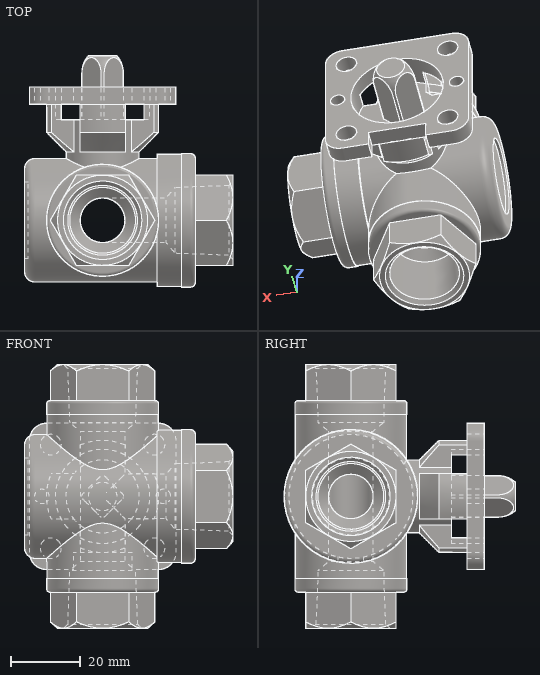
import cadquery as cq
import math

run_end = 37.85
branch_end = 37.4
closed_end = 22.4

body_dia = 35.5
body_edge_radius = 3.0
recess_dia = 22.0
recess_depth = 1.0

collar_start = 15.6
collar_step = 22.6
collar_end = 26.65
collar_dia = 38.0
collar_rim_dia = 38.4
collar_edge_radius = 1.5

barrel_dia = 32.0
barrel_rim_start = 23.5
barrel_rim_dia = 32.2
barrel_end = 27.5
barrel_edge_radius = 1.0

hex_flats = 26.0
hex_corners = hex_flats / math.cos(math.pi / 6)
hex_face_dia = 25.8
hex_chamfer_length = 1.9
branch_hex_turn = 30

port_mouth_dia = 22.5
port_mouth_depth = 1.2
port_dia = 20.0
port_depth = 16.65
seat_dia = 18.85
seat_length = 2.6
passage_dia = 12.7

neck_dia = 21.0
neck_end = 28.85
plate_start = 33.2
plate_thickness = 5.0
plate_end = plate_start + plate_thickness
plate_side = 42.0
plate_corner_radius = 5.0
plate_opening_dia = 27.0
claw_dia = 32.2
claw_width = 13.0
claw_cone_end = 25.2
claw_cone_start = claw_cone_end - (claw_dia - neck_dia) / 2

corner_hole_dia = 6.0
corner_hole_spacing = 29.7
side_hole_dia = 4.2
side_hole_spacing = 34.8

notch_width = 16.8
notch_depth = (plate_side - claw_dia) / 2

stem_dia = 11.95
stem_flats = 9.1
stem_turn = 45
overall_depth = 66.4
stem_end = overall_depth - collar_rim_dia / 2
stem_tip_dia = 8.2
dome_length = 5.1


def solid_along(direction, profile):
    """Turn a closed (radius, distance) profile about +Y and point +Y along direction."""
    solid = cq.Workplane("XY").polyline(profile).close().revolve(360, (0, 0, 0), (0, 1, 0))
    return point_along(direction, solid)


def point_along(direction, solid):
    """Swing a solid built along +Y so that it runs along direction."""
    turns = {
        "+Y": ((0, 0, 1), 0),
        "+X": ((0, 0, 1), -90),
        "+Z": ((1, 0, 0), 90),
        "-Z": ((1, 0, 0), -90),
    }
    axis, angle = turns[direction]
    return solid.rotate((0, 0, 0), axis, angle)


def along_y(start):
    """Sketch plane at y = start that extrudes towards +Y, with X and -Z in the plane."""
    return cq.Workplane("XZ", origin=(0, start, 0)).transformed(rotate=(180, 0, 0))


def cylinder(diameter, start, end):
    """Cylinder along +Y."""
    return along_y(start).circle(diameter / 2).extrude(end - start)


def hex_end(base, face):
    """Hexagonal port end along +Y, with chamfered corners on its face."""
    prism = along_y(base).polygon(6, hex_corners).extrude(face - base)
    blank = solid_along("+Y", [
        (0, base),
        (hex_corners / 2, base),
        (hex_corners / 2, face - hex_chamfer_length),
        (hex_face_dia / 2, face),
        (0, face),
    ])
    return prism.intersect(blank)


def port_bore(direction, face):
    """Countersunk, slightly tapered port with a conical seat and a flow passage down to the centre."""
    seat_start = face - port_depth
    return solid_along(direction, [
        (0, 0),
        (passage_dia / 2, 0),
        (passage_dia / 2, seat_start - seat_length),
        (seat_dia / 2, seat_start),
        (port_dia / 2, face - port_mouth_depth),
        (port_mouth_dia / 2, face),
        (0, face),
    ])


def body():
    """Round body with a closed, rounded end at -X."""
    blank = cq.Workplane("YZ", origin=(-closed_end, 0, 0)).circle(body_dia / 2)
    blank = blank.extrude(closed_end + collar_step)
    recess = cq.Workplane("YZ", origin=(-closed_end, 0, 0)).circle(recess_dia / 2).extrude(recess_depth)
    return blank.faces("<X").edges().fillet(body_edge_radius).cut(recess)


def branch():
    """Stepped collar and hexagonal end at +X."""
    rim = cylinder(collar_rim_dia, collar_step, collar_end).faces(">Y").edges().fillet(collar_edge_radius)
    collar = cylinder(collar_dia, collar_start, collar_step).union(rim)
    port_hex = hex_end(collar_end, branch_end).rotate((0, 0, 0), (0, 1, 0), branch_hex_turn)
    return point_along("+X", collar.union(port_hex))


def run(direction):
    """Barrel with a slightly wider rim and a hexagonal end."""
    rim = cylinder(barrel_rim_dia, barrel_rim_start, barrel_end).faces(">Y").edges().fillet(barrel_edge_radius)
    barrel = cylinder(barrel_dia, 0, barrel_rim_start).union(rim)
    return point_along(direction, barrel.union(hex_end(barrel_end, run_end)))


def claws():
    """Four claws that carry the plate, left over from a cup by a cross of two bars."""
    cup = solid_along("+Y", [
        (0, claw_cone_start),
        (neck_dia / 2, claw_cone_start),
        (claw_dia / 2, claw_cone_end),
        (claw_dia / 2, plate_start),
        (plate_opening_dia / 2, plate_start),
        (plate_opening_dia / 2, neck_end),
        (0, neck_end),
    ])
    height = plate_start - claw_cone_start
    cross = along_y(claw_cone_start).rect(claw_dia, claw_width).extrude(height)
    cross = cross.union(along_y(claw_cone_start).rect(claw_width, claw_dia).extrude(height))
    return cup.intersect(cross)


def plate():
    """Square mounting plate with a round opening for the stem, six holes and a notch."""
    blank = along_y(plate_start).rect(plate_side, plate_side).extrude(plate_thickness)
    blank = blank.edges("|Y").fillet(plate_corner_radius)
    opening = cylinder(plate_opening_dia, plate_start, plate_end)
    corner_holes = along_y(plate_start).rect(corner_hole_spacing, corner_hole_spacing, forConstruction=True)
    corner_holes = corner_holes.vertices().circle(corner_hole_dia / 2).extrude(plate_thickness)
    side_holes = along_y(plate_start).rarray(side_hole_spacing, 0.75, 2, 1)
    side_holes = side_holes.circle(side_hole_dia / 2).extrude(plate_thickness)
    notch = cq.Workplane("XY", origin=(0, plate_start + plate_thickness / 2, -plate_side / 2))
    notch = notch.rect(notch_width, plate_thickness).extrude(notch_depth)
    return blank.cut(opening).cut(corner_holes).cut(side_holes).cut(notch)


def stem():
    """Square stem with its corners turned round and an arched, turned tip."""
    radius = stem_dia / 2
    tip_radius = stem_tip_dia / 2
    inset = radius - tip_radius
    arch_radius = (dome_length ** 2 + inset ** 2) / (2 * inset)
    arch_start = stem_end - dome_length
    half_angle = math.asin(dome_length / arch_radius) / 2
    arch_middle = (
        radius - arch_radius * (1 - math.cos(half_angle)),
        arch_start + arch_radius * math.sin(half_angle),
    )
    turned = (
        cq.Workplane("XY")
        .moveTo(0, 0)
        .lineTo(radius, 0)
        .lineTo(radius, arch_start)
        .threePointArc(arch_middle, (tip_radius, stem_end))
        .lineTo(0, stem_end)
        .close()
        .revolve(360, (0, 0, 0), (0, 1, 0))
    )
    square = along_y(0).rect(stem_flats, stem_flats).extrude(stem_end)
    return turned.intersect(square.rotate((0, 0, 0), (0, 1, 0), stem_turn))


result = body().union(branch())
for side in ("+Z", "-Z"):
    result = result.union(run(side))
result = result.union(cylinder(neck_dia, 0, neck_end))
result = result.union(claws()).union(plate()).union(stem())
for side, face in (("+Z", run_end), ("-Z", run_end), ("+X", branch_end)):
    result = result.cut(port_bore(side, face))